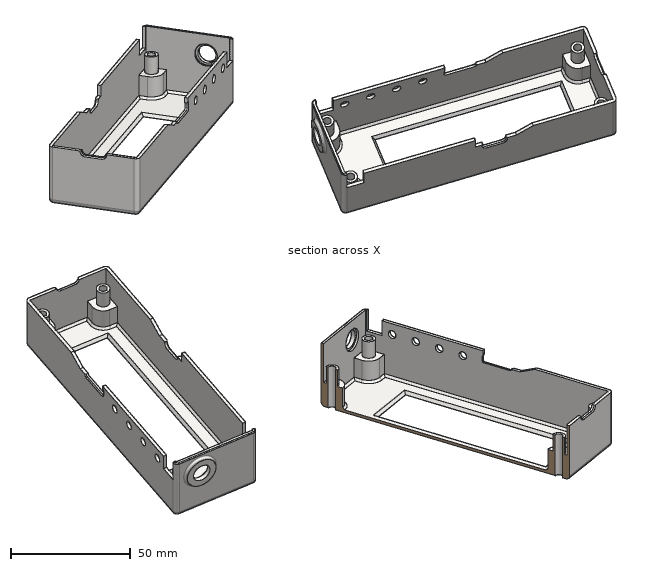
import cadquery as cq
import math

width = 40.0
total_length = 123.0
collar_length = 1.5
length = total_length - collar_length
height = 30.29
wall = 1.5
floor = 1.5
edge_radius = 2.0
floor_chamfer = 1.0
back_top_chamfer = 0.4

inner_half_width = width / 2 - wall
inner_back = length - wall

rim_front_z = 26.1
rim_low_z = 22.7
rim_high_z = 27.5
rim_back_gap_z = 20.4
ramp_start_y = 37.2
ramp_end_y = 44.6
rim_high_start_y = 62.7
rim_high_end_y = 112.0
back_post_y = length - edge_radius

window_half_width = 11.4
window_front_y = 14.3
window_back_y = 96.1
window_flare = 1.1

post_x = 14.75
post_end_inset = 5.4
post_front_y = post_end_inset
post_back_y = length - post_end_inset
post_diameter = 5.7
post_bore = 3.4
post_top_z = 19.6
block_radius = 5.3
block_top_z = 11.7

flare_depth = 0.5
flare_angle = 45.0

notch_radius = 2.0
notch_cut_height = 12.0
side_notch_y = 54.2
side_notch_width = 10.4
side_notch_bottom_z = 20.1
front_notch_width = 10.9
front_notch_bottom_z = 24.2

port_front_y = 48.8
port_back_y = 63.0
port_bottom_z = 21.9
port_top_z = 25.3
port_radius = 0.8

side_hole_diameter = 3.6
side_hole_count = 4
side_hole_first_y = 72.5
side_hole_pitch = 11.5
side_hole_z = 22.3

collar_x = 8.0
collar_z = 21.0
collar_diameter = 14.0
collar_fillet = 0.9
collar_bore = 8.0
collar_counterbore = 10.0
collar_counterbore_depth = 1.0

diagonal = math.sqrt(0.5)
clearance = 1.0


def box(x0, x1, y0, y1, z0, z1):
    """Axis-aligned block between two opposite corners."""
    return cq.Workplane("XY").box(x1 - x0, y1 - y0, z1 - z0, centered=False).translate((x0, y0, z0))


def cylinder_y(diameter, y0, y1):
    """Cylinder along Y on the collar axis."""
    plane = cq.Plane(origin=(collar_x, y0, collar_z), xDir=(1, 0, 0), normal=(0, 1, 0))
    return cq.Workplane(plane).circle(diameter / 2).extrude(y1 - y0)


def make_shell():
    """Rounded outer block with the back wall at full height."""
    shell = box(-width / 2, width / 2, 0, length, 0, height)
    shell = shell.edges("|Z").fillet(edge_radius)
    shell = shell.faces("<Z").edges().fillet(edge_radius)
    return shell.faces(">Z").edges(">Y").chamfer(back_top_chamfer)


def make_rim_cut():
    """Everything above the stepped rim, in front of the back wall."""
    above = height + clearance
    ahead = -clearance
    profile = [
        (ahead, above),
        (ahead, rim_front_z),
        (ramp_start_y, rim_front_z),
        (ramp_end_y, rim_low_z),
        (rim_high_start_y, rim_low_z),
        (rim_high_start_y, rim_high_z),
        (rim_high_end_y, rim_high_z),
        (rim_high_end_y, rim_back_gap_z),
        (back_post_y, rim_back_gap_z),
        (back_post_y, above),
    ]
    return cq.Workplane("YZ").polyline(profile).close().extrude(width, both=True)


def corner_block(side, post_y, wall_y):
    """Block filling an inner corner, rounded about the post axis."""
    x = side * post_x
    towards_wall = 1 if wall_y > post_y else -1
    wall_x = side * inner_half_width
    arm_x = x - side * block_radius
    arm_y = post_y - towards_wall * block_radius
    round_middle = block_radius * diagonal
    return (
        cq.Workplane("XY", origin=(0, 0, floor))
        .moveTo(wall_x, wall_y)
        .lineTo(arm_x, wall_y)
        .lineTo(arm_x, post_y)
        .threePointArc((x - side * round_middle, post_y - towards_wall * round_middle), (x, arm_y))
        .lineTo(wall_x, arm_y)
        .close()
        .extrude(block_top_z - floor)
    )


def make_cavity():
    """Inner space around the corner blocks, sloped along its floor edge."""
    lower = box(-inner_half_width, inner_half_width, wall, inner_back, floor, block_top_z)
    for side in (-1, 1):
        lower = lower.cut(corner_block(side, post_front_y, wall))
        lower = lower.cut(corner_block(side, post_back_y, inner_back))
    lower = lower.faces("<Z").edges().chamfer(floor_chamfer)
    upper = box(-inner_half_width, inner_half_width, wall, inner_back, block_top_z, height + clearance)
    return lower.union(upper)


def make_window():
    """Tapered opening through the floor."""
    middle_y = (window_front_y + window_back_y) / 2
    lower_width = 2 * window_half_width
    lower_length = window_back_y - window_front_y
    return (
        cq.Workplane("XY", origin=(0, middle_y, 0))
        .rect(lower_width, lower_length)
        .workplane(offset=floor)
        .rect(lower_width + 2 * window_flare, lower_length + 2 * window_flare)
        .loft()
    )


def flared_opening(plane, opening_width, opening_height, radius):
    """Rounded opening through a wall; the plane lies on the outer face with its normal outwards."""
    opening = (
        cq.Workplane(plane)
        .sketch()
        .rect(opening_width, opening_height)
        .vertices()
        .fillet(radius)
        .finalize()
        .extrude(-2 * wall)
    )
    flare = (
        cq.Workplane(plane)
        .sketch()
        .rect(opening_width + 2 * flare_depth, opening_height + 2 * flare_depth)
        .vertices()
        .fillet(radius + flare_depth)
        .finalize()
        .extrude(-flare_depth, taper=flare_angle)
    )
    return opening.union(flare)


def rim_notch(origin, x_dir, normal, notch_width):
    """Notch open at the top; the origin is the middle of its bottom edge."""
    centre = cq.Vector(*origin) + cq.Vector(0, 0, notch_cut_height / 2)
    plane = cq.Plane(origin=centre.toTuple(), xDir=x_dir, normal=normal)
    return flared_opening(plane, notch_width, notch_cut_height, notch_radius)


def make_left_notch():
    """Notch in the rim of the left wall."""
    origin = (-width / 2, side_notch_y, side_notch_bottom_z)
    return rim_notch(origin, (0, 1, 0), (-1, 0, 0), side_notch_width)


def make_front_notch():
    """Notch in the rim of the front wall, centred across the tray."""
    origin = (0, 0, front_notch_bottom_z)
    return rim_notch(origin, (1, 0, 0), (0, -1, 0), front_notch_width)


def make_side_port():
    """Flared port in the right wall."""
    middle = (width / 2, (port_front_y + port_back_y) / 2, (port_bottom_z + port_top_z) / 2)
    plane = cq.Plane(origin=middle, xDir=(0, 1, 0), normal=(1, 0, 0))
    return flared_opening(plane, port_back_y - port_front_y, port_top_z - port_bottom_z, port_radius)


def make_side_holes():
    """Row of round holes through the right wall."""
    centres = [(side_hole_first_y + i * side_hole_pitch, side_hole_z) for i in range(side_hole_count)]
    return (
        cq.Workplane("YZ", origin=(inner_half_width, 0, 0))
        .pushPoints(centres)
        .circle(side_hole_diameter / 2)
        .extrude(wall)
    )


def add_posts(body):
    """Hollow posts on the corner blocks, bored down through the floor."""
    centres = [(side * post_x, y) for side in (-1, 1) for y in (post_front_y, post_back_y)]
    posts = (
        cq.Workplane("XY", origin=(0, 0, block_top_z))
        .pushPoints(centres)
        .circle(post_diameter / 2)
        .extrude(post_top_z - block_top_z)
    )
    bores = cq.Workplane("XY").pushPoints(centres).circle(post_bore / 2).extrude(post_top_z)
    return body.union(posts).cut(bores)


def add_collar(body):
    """Round collar behind the back wall, filleted at its base, with a stepped bore."""
    radius = collar_diameter / 2
    foot_radius = radius + collar_fillet
    mid_radius = foot_radius - collar_fillet * diagonal
    mid_height = collar_fillet * (1 - diagonal)
    plane = cq.Plane(origin=(collar_x, length, collar_z), xDir=(1, 0, 0), normal=(0, 0, 1))
    collar = (
        cq.Workplane(plane)
        .moveTo(0, -wall)
        .lineTo(foot_radius, -wall)
        .lineTo(foot_radius, 0)
        .threePointArc((mid_radius, mid_height), (radius, collar_fillet))
        .lineTo(radius, collar_length)
        .lineTo(0, collar_length)
        .close()
        .revolve(360, (0, 0, 0), (0, 1, 0))
    )
    bore = cylinder_y(collar_bore, inner_back, total_length)
    counterbore = cylinder_y(collar_counterbore, inner_back, inner_back + collar_counterbore_depth)
    return body.union(collar).cut(bore).cut(counterbore)


body = make_shell().cut(make_rim_cut()).cut(make_cavity()).cut(make_window())
body = body.cut(make_left_notch()).cut(make_front_notch())
body = body.cut(make_side_port()).cut(make_side_holes())
body = add_posts(body)
result = add_collar(body)